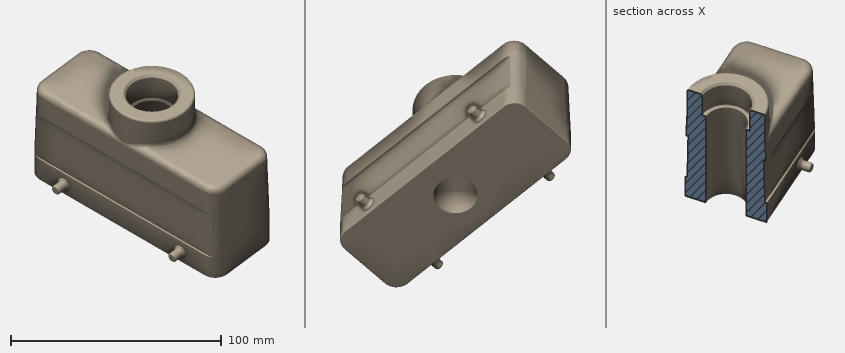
import cadquery as cq
import math

body_length = 120.0
body_width = 43.0
corner_radius = 7.7
skirt_height = 13.1
body_height = 55.1
side_draft_angle = 1.0
end_draft_angle = 1.5
top_edge_radius = 3.1
bottom_edge_radius = 0.6

recess_depth = 1.0
recess_top = 40.2

total_height = 71.0
neck_diameter = 41.0
neck_rim_radius = 1.2
neck_root_radius = 2.0
bore_diameter = 25.0
bore_depth = 13.8
bore_chamfer = 1.1
passage_diameter = 21.0

pin_span = 55.5
pin_spacing = 73.9
pin_height = 6.4
pin_diameter = 4.8
pin_tip_chamfer = 0.5
pin_tip_blend = 0.8
pin_root_diameter = 7.0
pin_disc_height = 0.4
pin_cone_length = 1.2
pin_root_blend = 0.8
pin_embed_depth = 1.2

margin = 0.1


def draft_inset(rise, angle):
    """Distance a drafted wall leans inward over the given rise."""
    return rise * math.tan(math.radians(angle))


def make_body():
    """Straight skirt carrying a drafted upper shell, with rounded top and bottom edges."""
    shell_height = body_height - skirt_height
    top_length = body_length - 2 * draft_inset(shell_height, end_draft_angle)
    top_width = body_width - 2 * draft_inset(shell_height, side_draft_angle)
    skirt = cq.Workplane("XY").rect(body_length, body_width).extrude(skirt_height)
    shell = (
        cq.Workplane("XY", origin=(0, 0, skirt_height))
        .rect(body_length, body_width)
        .workplane(offset=shell_height)
        .rect(top_length, top_width)
        .loft(ruled=True)
    )
    body = skirt.union(shell).edges("not(#Z)").fillet(corner_radius)
    body = body.faces("<Z").edges().fillet(bottom_edge_radius)
    return body.faces(">Z").edges().fillet(top_edge_radius)


def add_neck(body):
    """Round neck standing on the body, blended into its top face and rounded edges."""
    neck_start = body_height / 2
    neck = (
        cq.Workplane("XY", origin=(0, 0, neck_start))
        .circle(neck_diameter / 2)
        .extrude(total_height - neck_start)
        .faces(">Z")
        .edges()
        .fillet(neck_rim_radius)
    )
    reach = neck_diameter / 2 + margin
    root_zone = cq.selectors.BoxSelector(
        (-reach, -reach, neck_start),
        (reach, reach, body_height + margin),
        boundingbox=True,
    )
    return body.union(neck).edges(root_zone).fillet(neck_root_radius)


def cut_bore(body):
    """Chamfered bore in the neck, stepping down to a narrower passage through the body."""
    bore_radius = bore_diameter / 2
    passage_radius = passage_diameter / 2
    bore_floor = total_height - bore_depth
    cutter = (
        cq.Workplane("XZ")
        .moveTo(0, 0)
        .lineTo(passage_radius, 0)
        .lineTo(passage_radius, bore_floor)
        .lineTo(bore_radius, bore_floor)
        .lineTo(bore_radius, total_height - bore_chamfer)
        .lineTo(bore_radius + bore_chamfer, total_height)
        .lineTo(0, total_height)
        .close()
        .revolve(360, (0, 0, 0), (0, 1, 0))
    )
    return body.cut(cutter)


def cut_side_panels(body):
    """Full-length recesses whose floors follow the draft of the long sides."""
    floor_bottom = body_width / 2 - recess_depth
    floor_top = floor_bottom - draft_inset(recess_top - skirt_height, side_draft_angle)
    outside = body_width / 2 + margin
    profile = [
        (floor_bottom, skirt_height),
        (outside, skirt_height),
        (outside, recess_top),
        (floor_top, recess_top),
    ]
    cutter = cq.Workplane("YZ").polyline(profile).close().extrude(body_length / 2, both=True)
    return body.cut(cutter).cut(cutter.mirror("XZ"))


def edge_ring_at(y):
    """Selects the circular pin edge lying at the given Y."""
    return cq.selectors.BoxSelector(
        (-pin_root_diameter, y - margin, -pin_root_diameter),
        (pin_root_diameter, y + margin, pin_root_diameter),
        boundingbox=True,
    )


def make_pin():
    """Pin along +Y standing on a low disc and cone at the body wall, with a chamfered and rounded tip."""
    wall = body_width / 2
    embedded_end = wall - pin_embed_depth
    tip = pin_span / 2
    cone_start = wall + pin_disc_height
    cone_end = cone_start + pin_cone_length
    pin_radius = pin_diameter / 2
    root_radius = pin_root_diameter / 2
    shaft = (
        cq.Workplane("XY")
        .moveTo(0, embedded_end)
        .lineTo(root_radius, embedded_end)
        .lineTo(root_radius, cone_start)
        .lineTo(pin_radius, cone_end)
        .lineTo(pin_radius, tip - pin_tip_chamfer)
        .lineTo(pin_radius - pin_tip_chamfer, tip)
        .lineTo(0, tip)
        .close()
        .revolve(360, (0, 0, 0), (0, 1, 0))
    )
    shaft = shaft.edges(edge_ring_at(cone_end)).fillet(pin_root_blend)
    return shaft.edges(edge_ring_at(tip - pin_tip_chamfer)).fillet(pin_tip_blend)


def add_pins(body):
    """Two pins on each long side of the skirt."""
    pin = make_pin()
    for x in (-pin_spacing / 2, pin_spacing / 2):
        for turn in (0, 180):
            placed = pin.rotate((0, 0, 0), (0, 0, 1), turn).translate((x, 0, pin_height))
            body = body.union(placed)
    return body


hood = make_body()
hood = add_neck(hood)
hood = cut_bore(hood)
hood = cut_side_panels(hood)
result = add_pins(hood)